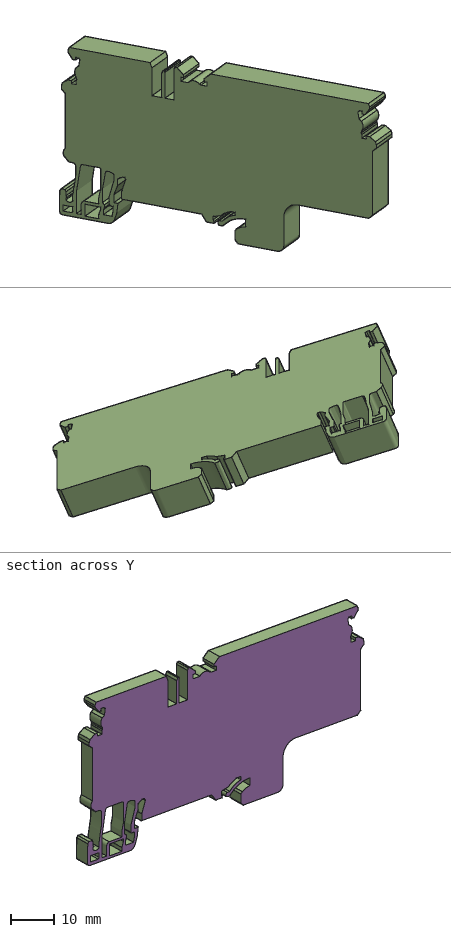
import cadquery as cq
import math


length = 82.85
height = 42.2
thickness = 8.0

end_lip_x = 0.5
housing_center = (end_lip_x + length) / 2
wall_setback = 1.0
lip_ridge = (2.2, 34.0)
lip_shoulder = (0.75, 33.0)
wall_left = end_lip_x + wall_setback
wall_right = length - wall_setback
housing_bottom = 13.5
corner_chamfer = 1.0
overlap = 0.8

web_left = 15.3
web_right = 58.65
web_bottom = 6.7
web_fillet = 3.7

hook_left = 45.9
hook_bottom = 1.0
hook_radius = 1.7
hook_chamfer = 0.8

foot_radius = 0.9

slot_left = 24.2
slot_right = 29.9
slot_floor = 34.0
blade_left = 26.7
blade_right = 27.6
blade_top = 40.7
blade_bevel_left = (0.3, 0.7)
blade_bevel_right = (0.2, 0.25)
slot_lead_in = (0.5, 1.25)
slot_far_bevel = (0.25, 0.5)

groove_center = 35.1
groove_top_half = 4.4
groove_bevel_half = 4.1
groove_mouth_half = 2.7
groove_pocket_half = 3.4
groove_edge_depth = 0.25
groove_bevel_depth = 1.5
groove_lip_depth = 2.2
groove_depth = 3.2
groove_hump_half = 1.5
groove_hump_height = 0.75
groove_hump_toe = (0.4, 0.2)

terminals = [(10.1, 1), (53.1, -1), (73.2, -1)]
screw_radius = 4.15
screw_y = -0.3
screw_rim = 0.1
clamp_offset = 7.6
clamp_length = 5.55
clamp_width = 6.8
clamp_dent_depth = 0.75
clamp_dent_half = 1.3
clamp_ear = 1.0
wire_slot_offset = 7.0
wire_slot_width = 1.2
wire_bulge_radius = 1.5
test_point_x = 21.6
test_point_radius = 1.2
busbar_y_min = -3.15
busbar_y_max = 2.65
inlay_depth = 0.8


def prism(start, *steps):
    """Profile extruded over the thickness; a step is an end point or an arc's (middle, end)."""
    wire = cq.Workplane("XZ").moveTo(*start)
    for step in steps:
        if isinstance(step[0], tuple):
            wire = wire.threePointArc(*step)
        else:
            wire = wire.lineTo(*step)
    return wire.close().extrude(thickness / 2, both=True)


def corner_arc(center, radius, from_angle, to_angle):
    """Middle and end points of a circular corner, with angles in degrees."""
    points = []
    for degrees in ((from_angle + to_angle) / 2, to_angle):
        angle = math.radians(degrees)
        points.append((center[0] + radius * math.cos(angle), center[1] + radius * math.sin(angle)))
    return tuple(points)


def mirrored(shape):
    """The shape seen in a mirror at the housing's centre."""
    return shape.mirror("YZ", (housing_center, 0, 0))


def housing():
    return prism(
        (wall_left, housing_bottom + corner_chamfer),
        (wall_left, height),
        (wall_right, height),
        (wall_right, housing_bottom + corner_chamfer),
        (wall_right - corner_chamfer, housing_bottom),
        (wall_left + corner_chamfer, housing_bottom),
    )


def end_lip():
    """Nose below the left end's marker recess, overhanging the end wall."""
    return prism(lip_ridge, (3.15, lip_ridge[1]), (3.15, 30.5), (wall_left, 30.5), (end_lip_x, 31.4),
                 (end_lip_x, 32.2), lip_shoulder)


def end_recess():
    """Undercut marker recess of the left end, open to the left."""
    outside = -0.8
    return prism(
        (outside, height),
        (2.6, height),
        (2.2, 41.4),
        (2.2, 40.9),
        (3.5, 39.3),
        (4.2, 39.3),
        (4.2, 39.9),
        (5.0, 39.9),
        (5.3, 39.6),
        (5.05, 37.95),
        (4.4, 37.45),
        ((4.0, 36.2), (4.4, 35.0)),
        (4.5, 34.5),
        (4.3, 34.1),
        (4.3, 33.2),
        (3.15, 33.2),
        (3.15, lip_ridge[1]),
        lip_ridge,
        lip_shoulder,
        (outside, lip_shoulder[1]),
    )


def left_bulge():
    """Rounded bead at the bottom of the left end wall."""
    return prism((wall_left, 16.7), ((1.0, 15.5), (1.3, 14.6)), (2.7, housing_bottom),
                 (5.0, housing_bottom), (5.0, 16.7))


def web_and_hook():
    hook_corner = (web_right - hook_radius, hook_bottom + hook_radius)
    fillet_center = (web_right + web_fillet, housing_bottom - web_fillet)
    return prism(
        (web_left, housing_bottom + overlap),
        (web_left, web_bottom),
        (37.2, web_bottom),
        (38.45, 5.0),
        (40.4, 5.0),
        (40.4, 5.5),
        (40.2, 5.9),
        (40.2, web_bottom),
        (40.9, 6.9),
        (42.2, 7.2),
        ((43.3, 8.0), (44.65, 8.7)),
        (hook_left, 8.7),
        (hook_left, 7.95),
        ((44.2, 7.3), (42.6, 6.0)),
        (41.8, 6.0),
        ((41.4, 5.4), (41.9, 4.7)),
        (42.7, 4.7),
        ((44.9, 6.55), (47.9, 7.45)),
        (48.6, 7.45),
        (48.6, 5.6),
        (47.6, 5.4),
        (46.3, 4.7),
        (hook_left, 4.2),
        (hook_left, hook_bottom + hook_chamfer),
        (hook_left + hook_chamfer, hook_bottom),
        (hook_corner[0], hook_bottom),
        corner_arc(hook_corner, hook_radius, -90, 0),
        (web_right, fillet_center[1]),
        corner_arc(fillet_center, web_fillet, 180, 90),
        (fillet_center[0], housing_bottom + overlap),
    )


def foot():
    """Sprung foot that snaps onto the other side of the rail."""
    return prism(
        (3.5, housing_bottom),
        ((4.1, 13.25), (4.2, 12.8)),
        (4.2, 10.7),
        ((4.15, 9.4), (3.9, 8.1)),
        (3.5, 5.5),
        (3.5, 4.0),
        ((2.65, 3.5), (1.7, 4.0)),
        (1.7, 4.4),
        (2.0, 4.6),
        (1.7, 5.0),
        (1.7, 6.0),
        (1.5, 6.5),
        (0.4, 6.5),
        (0.1, 6.0),
        (0, 4.0),
        (0, foot_radius),
        corner_arc((foot_radius, foot_radius), foot_radius, 180, 270),
        (13.0, 0),
        ((13.9, 0.5), (14.5, 1.5)),
        (15.0, 3.0),
        (15.3, 5.5),
        (web_left, housing_bottom),
    )


def foot_openings():
    spring_opening = prism(
        (6.0, housing_bottom),
        (10.4, housing_bottom),
        ((10.7, 13.4), (10.8, 13.2)),
        (10.8, 8.2),
        (10.3, 6.0),
        (10.3, 4.5),
        (6.5, 4.5),
        ((6.0, 4.15), (5.7, 3.65)),
        (5.7, 1.0),
        (4.5, 1.0),
        (4.5, 6.5),
        (5.5, 12.8),
        ((5.6, 13.25), (6.0, housing_bottom)),
    )
    latch_opening = prism(
        (12.0, 12.5),
        ((12.2, 12.85), (12.5, 13.0)),
        (13.1, 13.0),
        (13.9, 12.8),
        ((14.2, 12.6), (14.25, 12.3)),
        (14.25, 11.0),
        (13.0, 6.7),
        (13.0, 4.8),
        (13.25, 4.5),
        (14.0, 4.5),
        (14.0, 3.2),
        (13.75, 2.0),
        (11.5, 2.0),
        (11.5, 3.2),
        (11.8, 3.7),
        (11.8, 4.5),
        (11.3, 5.0),
        (11.3, 8.2),
    )
    rail_gap = prism(
        (14.25, 5.5),
        (14.25, 7.45),
        (15.25, 9.95),
        (15.25, 11.5),
        (16.5, 12.3),
        (17.1, 12.3),
        (17.3, 11.8),
        (16.2, 8.6),
        (16.2, 5.5),
    )
    small_window = prism((1.0, 1.0), (1.0, 2.5), (3.5, 2.5), (3.5, 1.3), (3.15, 1.0))
    large_window = prism((6.7, 0.75), (6.7, 3.7), (10.8, 3.7), (10.8, 3.15), (10.3, 1.7), (10.3, 0.75))
    return [spring_opening, latch_opening, rail_gap, small_window, large_window]


def blade_slots():
    slots = prism(
        (slot_left, slot_floor),
        (slot_left, height - slot_lead_in[1]),
        (slot_left - slot_lead_in[0], height),
        (slot_right + slot_far_bevel[0], height),
        (slot_right, height - slot_far_bevel[1]),
        (slot_right, slot_floor),
    )
    blade = prism(
        (blade_left, slot_floor),
        (blade_left, blade_top - blade_bevel_left[1]),
        (blade_left + blade_bevel_left[0], blade_top),
        (blade_right - blade_bevel_right[0], blade_top),
        (blade_right, blade_top - blade_bevel_right[1]),
        (blade_right, slot_floor),
    )
    return slots.cut(blade)


def marker_groove():
    bevel_z = height - groove_bevel_depth
    lip_z = height - groove_lip_depth
    floor_z = height - groove_depth
    right_side = [
        (groove_pocket_half, floor_z),
        (groove_pocket_half, lip_z),
        (groove_mouth_half, lip_z),
        (groove_mouth_half, bevel_z),
        (groove_bevel_half, height - groove_edge_depth),
        (groove_top_half, height),
    ]
    right = [(groove_center + x, z) for x, z in right_side]
    left = [(groove_center - x, z) for x, z in reversed(right_side)]
    hump_left = groove_center - groove_hump_half
    hump_right = groove_center + groove_hump_half
    hump_arc = ((groove_center, floor_z + groove_hump_height), (hump_right, floor_z + groove_hump_toe[1]))
    toe_end = (hump_right + groove_hump_toe[0], floor_z)
    return prism((hump_left, floor_z), hump_arc, toe_end, *right, *left)


def inlay(top_z):
    """Workplane for a face piece that ends flush at top_z."""
    return cq.Workplane("XY", origin=(0, 0, top_z - inlay_depth))


def terminal_inlays(screw_x, direction):
    """Screw head, clamp and wire slot, each flush with the top."""
    screw = inlay(height).center(screw_x, screw_y).circle(screw_radius).extrude(inlay_depth)
    screw_space = inlay(height).center(screw_x, 0).rect(2 * screw_radius, thickness - 2 * screw_rim)
    screw = screw.intersect(screw_space.extrude(inlay_depth))
    near = screw_x + direction * (clamp_offset - clamp_length / 2)
    far = screw_x + direction * (clamp_offset + clamp_length / 2)
    dent = far - direction * clamp_dent_depth
    half = clamp_width / 2
    ear = half - clamp_ear
    clamp = inlay(height).polyline([
        (near, -half), (far, -half), (far, -ear), (dent, -clamp_dent_half),
        (dent, clamp_dent_half), (far, ear), (far, half), (near, half),
    ]).close().extrude(inlay_depth)
    wire_x = screw_x + direction * wire_slot_offset
    wire_slot = inlay(height).center(wire_x, 0).rect(wire_slot_width, clamp_width).extrude(inlay_depth)
    bulge = inlay(height).center(wire_x, 0).circle(wire_bulge_radius).extrude(inlay_depth)
    return [screw, clamp, wire_slot.union(bulge)]


def busbar_inlay():
    """Busbar flush with the floor of the blade slots."""
    return (
        inlay(slot_floor)
        .center((slot_left + slot_right) / 2, (busbar_y_min + busbar_y_max) / 2)
        .rect(slot_right - slot_left, busbar_y_max - busbar_y_min)
        .extrude(inlay_depth)
    )


body = housing().cut(end_recess()).cut(mirrored(end_recess()))
for piece in (end_lip(), mirrored(end_lip()), left_bulge(), web_and_hook(), foot()):
    body = body.union(piece)
for opening in foot_openings():
    body = body.cut(opening)
body = body.cut(blade_slots()).cut(marker_groove())

inlays = [busbar_inlay()]
for screw_x, direction in terminals:
    inlays += terminal_inlays(screw_x, direction)
inlays.append(inlay(height).center(test_point_x, 0).circle(test_point_radius).extrude(inlay_depth))
for piece in inlays:
    body = body.union(piece, clean=False)

result = body